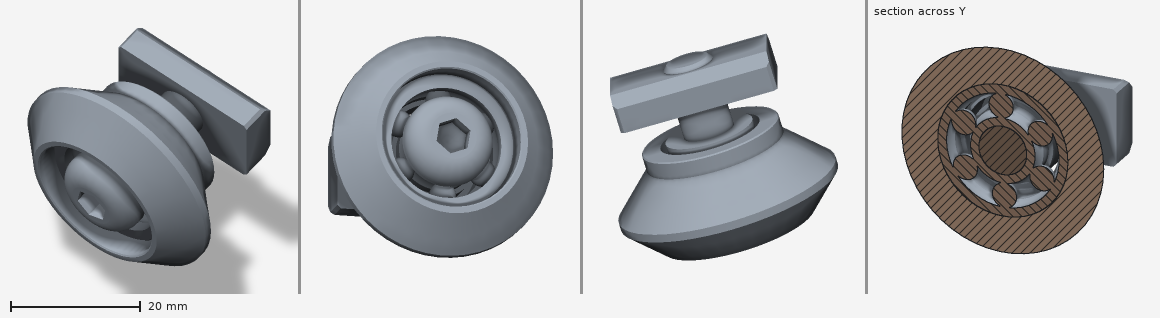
import cadquery as cq
import math


wheel_diameter = 35.0
hub_diameter = 22.0
wheel_front_y = -3.5
crest_front_y = 1.9
crest_width = 1.3
hub_length = 2.8
hub_edge_chamfer = 0.2
rear_lip_hole_diameter = 16.0
bore_mouth_chamfer = 0.2

bearing_diameter = 22.0
bearing_width = 7.0
outer_ring_inner_diameter = 17.55
inner_ring_outer_diameter = 12.5
ring_edge_chamfer = 0.35
ball_count = 6
ball_radius = 2.1
raceway_radius = 2.0
ball_start_angle = 32.2

shank_diameter = 8.0
shank_length = 25.0
tip_diameter = 6.65
head_diameter = 14.0
head_height = 4.4
head_round_radius = 3.32
hex_across_flats = 5.0
hex_depth = 2.6
hex_corner_angle = 20.8
socket_cone_depth = 1.4

spacer_diameter = 14.0
spacer_length = 6.0

nut_length = 25.15
nut_height = 13.05
nut_thickness = 5.9
nut_front_y = 18.3
nut_rear_chamfer = 1.9
nut_end_chamfer = 0.55


def revolve_about_y(profile):
    """Revolve a closed (radius, y) profile about the Y axis."""
    return profile.close().revolve(360, (0, 0, 0), (0, 1, 0))


def cylinder_along_y(diameter, start_y, length):
    return cq.Workplane("XZ", origin=(0, start_y, 0)).circle(diameter / 2).extrude(-length)


def ring_along_y(outer_diameter, inner_diameter, start_y, length):
    outer = cylinder_along_y(outer_diameter, start_y, length)
    return outer.cut(cylinder_along_y(inner_diameter, start_y, length))


def make_wheel():
    """V-shaped wheel with a front bearing bore and a smaller hole through its rear lip."""
    rim = wheel_diameter / 2
    hub = hub_diameter / 2
    bore = bearing_diameter / 2
    lip_hole = rear_lip_hole_diameter / 2
    crest_rear_y = crest_front_y + crest_width
    front_face_radius = rim - (crest_front_y - wheel_front_y)
    hub_front_y = crest_rear_y + rim - hub
    hub_rear_y = hub_front_y + hub_length
    profile = (
        cq.Workplane("XY")
        .moveTo(bore + bore_mouth_chamfer, wheel_front_y)
        .lineTo(front_face_radius, wheel_front_y)
        .lineTo(rim, crest_front_y)
        .lineTo(rim, crest_rear_y)
        .lineTo(hub, hub_front_y)
        .lineTo(hub, hub_rear_y - hub_edge_chamfer)
        .lineTo(hub - hub_edge_chamfer, hub_rear_y)
        .lineTo(lip_hole, hub_rear_y)
        .lineTo(lip_hole, bearing_width)
        .lineTo(bore, bearing_width)
        .lineTo(bore, wheel_front_y + bore_mouth_chamfer)
    )
    return revolve_about_y(profile)


def make_bearing():
    """Ball bearing as one solid, its balls pressed slightly into the raceways and joining the two rings."""
    outer_ring = cylinder_along_y(bearing_diameter, 0, bearing_width).edges().chamfer(ring_edge_chamfer)
    outer_ring = outer_ring.cut(cylinder_along_y(outer_ring_inner_diameter, 0, bearing_width))
    inner_ring = ring_along_y(inner_ring_outer_diameter, shank_diameter, 0, bearing_width)
    pitch_radius = (outer_ring_inner_diameter + inner_ring_outer_diameter) / 4
    raceway = cq.Workplane(
        cq.Solid.makeTorus(pitch_radius, raceway_radius, cq.Vector(0, bearing_width / 2, 0), cq.Vector(0, 1, 0))
    )
    bearing = outer_ring.cut(raceway)
    for index in range(ball_count):
        angle = math.radians(ball_start_angle + index * 360 / ball_count)
        center = (pitch_radius * math.cos(angle), bearing_width / 2, pitch_radius * math.sin(angle))
        bearing = bearing.union(cq.Workplane("XZ").sphere(ball_radius).translate(center))
    return bearing.union(inner_ring.cut(raceway))


def make_hex_socket():
    """Hexagonal socket with a conical floor, in the front of the screw head."""
    corner_diameter = hex_across_flats / math.cos(math.pi / 6)
    hexagon = (
        cq.Workplane("XZ", origin=(0, -head_height, 0))
        .transformed(rotate=(0, 0, hex_corner_angle))
        .polygon(6, corner_diameter)
        .extrude(-(hex_depth + socket_cone_depth))
    )
    floor_y = hex_depth - head_height
    pointed_bore = revolve_about_y(
        cq.Workplane("XY")
        .moveTo(0, -head_height)
        .lineTo(corner_diameter / 2, -head_height)
        .lineTo(corner_diameter / 2, floor_y)
        .lineTo(0, floor_y + socket_cone_depth)
    )
    return hexagon.intersect(pointed_bore)


def make_screw():
    """Button-head screw with a chamfered tip."""
    head = cylinder_along_y(head_diameter, -head_height, head_height)
    head = head.faces("<Y").edges().fillet(head_round_radius)
    tip_chamfer = (shank_diameter - tip_diameter) / 2
    shank = cylinder_along_y(shank_diameter, 0, shank_length).faces(">Y").chamfer(tip_chamfer)
    return head.union(shank).cut(make_hex_socket())


def make_spacer():
    """Sleeve on the screw behind the bearing, passing through the rear lip of the wheel."""
    return ring_along_y(spacer_diameter, shank_diameter, bearing_width, spacer_length)


def make_nut():
    """T-slot nut: a block with bevelled rear edges and end corners, and a hole for the screw."""
    block = cq.Workplane("XY").box(nut_length, nut_thickness, nut_height)
    block = block.translate((0, nut_front_y + nut_thickness / 2, 0))
    end_outline = block.edges("|Y").chamfer(nut_end_chamfer)
    rear_outline = block.faces(">Y").edges("|X").chamfer(nut_rear_chamfer)
    screw_hole = cylinder_along_y(shank_diameter, nut_front_y, nut_thickness)
    return end_outline.intersect(rear_outline).cut(screw_hole)


wheel = make_wheel()
bearing = make_bearing()
screw = make_screw()
spacer = make_spacer()
nut = make_nut()

result = cq.Compound.makeCompound([wheel.val(), bearing.val(), screw.val(), spacer.val(), nut.val()])